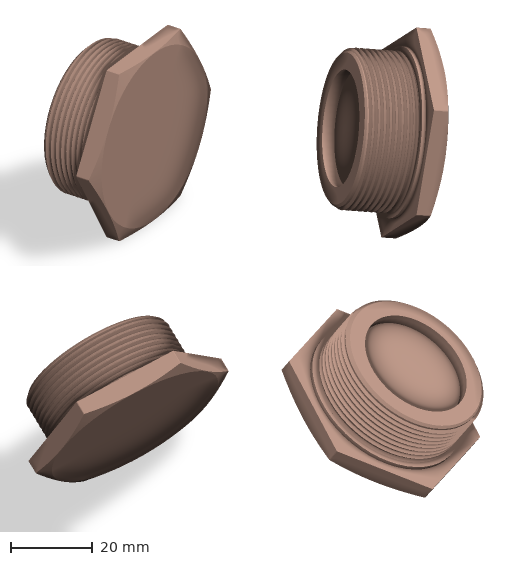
import cadquery as cq
import math


total_length = 20.0
head_thickness = 5.0
ring_thickness = 1.05
head_start = total_length - head_thickness
ring_start = head_start - ring_thickness

across_flats = 47.0
across_corners = 54.15
head_face_diameter = across_flats - 0.2
head_chamfer_depth = 1.3

ring_diameter = 42.3

major_radius = 20.0
root_radius = 19.15
tip_radius = 18.7
first_crest = 0.6
last_crest = 12.6
crest_gaps = 8
pitch = (last_crest - first_crest) / crest_gaps
flank_half_angle = 30.0
ridge_sink = 0.05
trim_clearance = 0.05
lead_turns = 1

recess_diameter = 28.85
recess_depth = 3.15


def along_x(body):
    """Turn Z to X, X to Y and Y to Z."""
    return body.rotate((0, 0, 0), (1, 1, 1), 120)


def revolved(points):
    """Revolve a (radius, height) outline about Z."""
    return cq.Workplane("XZ").polyline(points).close().revolve(360, (0, 0, 0), (0, 1, 0))


def chamfered_rod(radius, length):
    """Round rod whose lower end has the 45 degree chamfer of the shank."""
    chamfer = radius - tip_radius
    return revolved([(0, 0), (tip_radius, 0), (radius, chamfer), (radius, length), (0, length)])


def thread_ridge():
    """Right-hand V-shaped ridge, trimmed to the chamfer and the ring face."""
    base_radius = root_radius - ridge_sink
    half_base = (major_radius - base_radius) * math.tan(math.radians(flank_half_angle))
    start = first_crest - lead_turns * pitch
    turns = math.ceil((ring_start + half_base - start) / pitch) + 1
    path = cq.Wire.makeHelix(pitch, turns * pitch, base_radius).translate(cq.Vector(0, 0, start))
    ridge = (
        cq.Workplane("XZ")
        .polyline([
            (base_radius, start - half_base),
            (major_radius, start),
            (base_radius, start + half_base),
        ])
        .close()
        .sweep(cq.Workplane(obj=path), isFrenet=True)
    )
    return ridge.intersect(chamfered_rod(major_radius + trim_clearance, ring_start))


def hex_head():
    """Hexagon with turned corners and a conical chamfer on its outer face."""
    corner_radius = across_corners / 2
    sharp_corners = across_flats / math.cos(math.radians(30))
    hexagon = (
        cq.Workplane("XY")
        .workplane(offset=head_start)
        .polygon(6, sharp_corners)
        .extrude(head_thickness)
    )
    turned_blank = revolved([
        (0, head_start),
        (corner_radius, head_start),
        (corner_radius, total_length - head_chamfer_depth),
        (head_face_diameter / 2, total_length),
        (0, total_length),
    ])
    return hexagon.intersect(turned_blank)


def make_plug():
    """Threaded shank and head in one piece, with the round recess in the end face."""
    shank = chamfered_rod(root_radius, head_start)
    recess = cq.Workplane("XY").circle(recess_diameter / 2).extrude(recess_depth)
    return along_x(shank.union(thread_ridge()).union(hex_head()).cut(recess))


def make_sealing_ring():
    """Flat ring on the plain neck between the thread and the head."""
    ring = (
        cq.Workplane("XY")
        .workplane(offset=ring_start)
        .circle(ring_diameter / 2)
        .circle(root_radius)
        .extrude(ring_thickness)
    )
    return along_x(ring)


plug = make_plug()
sealing_ring = make_sealing_ring()

result = cq.Compound.makeCompound([plug.solids().val(), sealing_ring.val()])